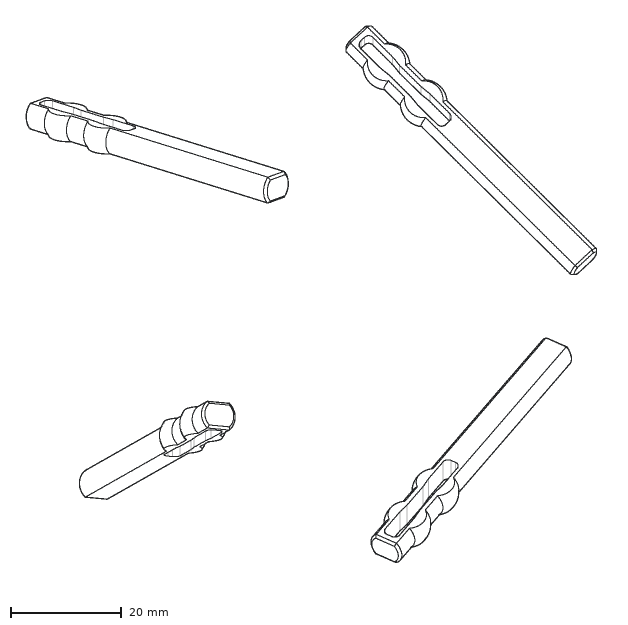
import cadquery as cq

length = 59.4
rod_diameter = 6.6
thickness = 5.0
end_chamfer = 0.5

ball_diameter = 8.55
ball_spacing = 9.7
first_ball_x = 7.65
second_ball_x = first_ball_x + ball_spacing
ball_positions = (first_ball_x, second_ball_x)

slot_start = 1.5
slot_end = first_ball_x + second_ball_x - slot_start
slot_width = 3.0
waist_width = 2.6
slot_corner_radius = 1.05
waist_taper_length = 2.1


def make_bar():
    """Rod along X with flat top and bottom, chamfered around both ends."""
    rod = cq.Workplane("YZ").circle(rod_diameter / 2).extrude(length)
    bar = rod.intersect(flat_slab())
    return bar.faces("<X or >X").chamfer(end_chamfer)


def flat_slab():
    """Slab between the two flats, wide enough to hold the balls."""
    return cq.Workplane("XY").box(length, ball_diameter, thickness).translate((length / 2, 0, 0))


def make_ball(x):
    """Ball cut flush with the flats of the bar."""
    ball = cq.Workplane("XY").sphere(ball_diameter / 2).translate((x, 0, 0))
    return ball.intersect(flat_slab())


def make_slot():
    """Slot with rounded corners whose sides taper in to a waist."""
    half_width = slot_width / 2
    half_waist = waist_width / 2
    waist_start = first_ball_x + waist_taper_length
    waist_end = second_ball_x - waist_taper_length
    upper_side = [
        (slot_start, half_width),
        (first_ball_x, half_width),
        (waist_start, half_waist),
        (waist_end, half_waist),
        (second_ball_x, half_width),
        (slot_end, half_width),
    ]
    lower_side = [(x, -y) for x, y in reversed(upper_side)]
    slot = cq.Workplane("XY").polyline(upper_side + lower_side).close().extrude(thickness, both=True)
    end_corners = slot.faces("<X or >X").edges("|Z")
    return end_corners.fillet(slot_corner_radius)


result = make_bar()
for ball_x in ball_positions:
    result = result.union(make_ball(ball_x))
result = result.cut(make_slot())